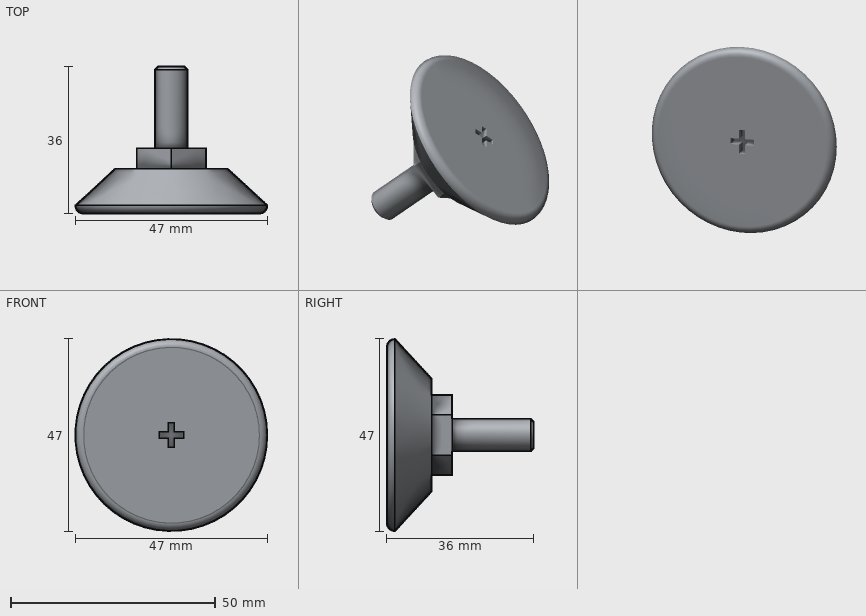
import cadquery as cq
import math

foot_diameter = 47.0
foot_height = 11.0
foot_top_diameter = 27.5
rim_radius = 2.0

hex_across_flats = 17.0
hex_height = 5.0
hex_half_angle = 30.0

stud_diameter = 8.0
stud_length = 20.0
stud_chamfer = 0.8

cross_length = 6.0
cross_width = 1.5
cross_depth = 3.0


def plane_at(y):
    """Plane normal to the axis at height y, facing +Y."""
    return cq.Workplane(cq.Plane(origin=(0, y, 0), xDir=(1, 0, 0), normal=(0, 1, 0)))


def make_foot():
    """Conical foot with a quarter-round rim, revolved about the Y axis."""
    outer = foot_diameter / 2
    flat = outer - rim_radius
    arc_offset = rim_radius * math.sin(math.radians(45))
    return (
        cq.Workplane("XY")
        .lineTo(flat, 0)
        .threePointArc((flat + arc_offset, rim_radius - arc_offset), (outer, rim_radius))
        .lineTo(foot_top_diameter / 2, foot_height)
        .lineTo(0, foot_height)
        .close()
        .revolve(360, (0, 0, 0), (0, 1, 0))
    )


def make_hex():
    """Hexagon with two flats facing +X and -X."""
    across_corners = hex_across_flats / math.cos(math.radians(hex_half_angle))
    hexagon = plane_at(foot_height).polygon(6, across_corners).extrude(hex_height)
    return hexagon.rotate((0, 0, 0), (0, 1, 0), hex_half_angle)


def make_stud():
    """Stud with a chamfered free end."""
    stud = plane_at(foot_height + hex_height).circle(stud_diameter / 2).extrude(stud_length)
    return stud.faces(">Y").chamfer(stud_chamfer)


def make_cross():
    """Cross-shaped driver recess sunk into the flat face."""
    across = plane_at(0).rect(cross_length, cross_width).extrude(cross_depth)
    upright = plane_at(0).rect(cross_width, cross_length).extrude(cross_depth)
    return across.union(upright)


result = make_foot().union(make_hex()).union(make_stud()).cut(make_cross())